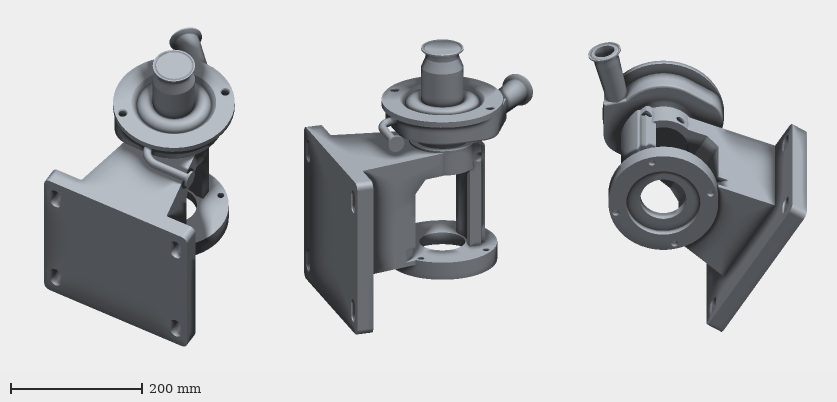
import cadquery as cq
import math


plate_size = 250.0
plate_thick = 25.8
plate_front_y = -179.7
plate_back_y = plate_front_y + plate_thick
plate_corner_r = 10.0
slot_width = 17.5
slot_length = 36.3
slot_spacing_x = 210.5
slot_spacing_z = 179.7

arm_top_z = plate_size
arm_base_half_width = 74.5
arm_tip_half_width = 48.8
arm_tip_y = -14.5
arm_under_z = 212.8
column_bottom_z = 75.8
column_face_y = -63.0
haunch_y = -45.5
haunch_z = 192.5
bolt_relief = 13.5
bolt_relief_top_z = 104.8

hub_r = 50.8
hub_top_z = 253.0
bore_r = 38.3
bore_top_z = 242.0
side_hole_r = 7.3
side_hole_z = 225.5
post_half_width = 32.5
post_inner_y = 33.0
post_r = 60.5
post_rib_half_width = 23.8
post_rib_r = 65.3
post_chamfer_y = 45.0
post_chamfer_z = 238.0
post_hole_y = 47.5
post_hole_z = 229.0

ring_r = 83.62
ring_bore_r = 35.0
ring_recess_r = 56.5
ring_recess_depth = 11.3
ring_bottom_z = 55.0
ring_top_z = 83.0
ring_bolt_circle_r = 74.0
ring_bolt_r = 5.2

casing_bottom_z = 273.0
cover_bottom_z = 309.5
cover_top_z = 318.5
casing_r = 75.8
casing_corner_r = 35.5
casing_edge_r = 3.5
neck_r = 41.0
neck_fillet_r = 9.3
cover_r = 92.5
dish_rim_r = 64.5
dish_r = 57.2
dish_z = 312.0
dish_inner_z = 317.0
dish_curve_r = 16.0
cover_bolt_offset = 57.2
cover_bolt_r = 6.0
cover_bolt_mouth_r = 7.5
cover_bolt_mouth_depth = 1.5
cover_bolt_depth = 20.0

top_z = 403.0
inlet_r = 32.2
inlet_shoulder_z = 372.0
inlet_neck_z = 389.0
inlet_neck_r = 25.5
inlet_clamp_r = 32.2

outlet_z = 290.5
outlet_offset = 58.0
outlet_wall = 61.5
outlet_wall_end = 78.0
outlet_end = 143.5
outlet_cone_end = 124.5
outlet_root_r = 17.0
outlet_r = 19.5
outlet_clamp_r = 25.5
outlet_bore_root_r = 13.7
outlet_bore_r = 15.7
outlet_clamp_slope = 4.0
outlet_groove_r = 21.8

clamp_thick = 2.5
clamp_slope = 1.5
groove_half_width = 1.5
groove_depth = 1.2
inlet_groove_r = 28.5

drain_z = 293.0
drain_y = -104.5
drain_bend_x = 29.0
drain_end_x = 88.5
drain_r = 6.5
drain_clamp_r = 13.0
drain_clamp_thick = 3.5
drain_clamp_slope = 2.0


def cylinder(radius, bottom_z, top_z, x=0.0, y=0.0):
    return cq.Workplane("XY", origin=(x, y, bottom_z)).circle(radius).extrude(top_z - bottom_z)


def revolved(profile):
    """Turn a closed (radius, height) outline about the local height axis."""
    return profile.close().revolve(360, (0, 0, 0), (0, 1, 0))


def make_plate():
    plate = (
        cq.Workplane("XZ", origin=(0, plate_back_y, plate_size / 2))
        .rect(plate_size, plate_size)
        .extrude(plate_thick)
        .edges("|Y")
        .fillet(plate_corner_r)
    )
    slots = (
        cq.Workplane("XZ", origin=(0, plate_back_y, plate_size / 2))
        .rarray(slot_spacing_x, slot_spacing_z, 2, 2)
        .slot2D(slot_length, slot_width, 90)
        .extrude(plate_thick)
    )
    return plate.cut(slots)


def make_arm():
    side = (
        cq.Workplane("YZ")
        .moveTo(plate_back_y, column_bottom_z)
        .lineTo(column_face_y, column_bottom_z)
        .lineTo(column_face_y, haunch_z)
        .lineTo(haunch_y, arm_under_z)
        .lineTo(0, arm_under_z)
        .lineTo(0, arm_top_z)
        .lineTo(plate_back_y, arm_top_z)
        .close()
        .extrude(arm_base_half_width, both=True)
    )
    plan = (
        cq.Workplane("XY")
        .moveTo(-arm_base_half_width, plate_back_y)
        .lineTo(arm_base_half_width, plate_back_y)
        .lineTo(arm_tip_half_width, arm_tip_y)
        .lineTo(-arm_tip_half_width, arm_tip_y)
        .close()
        .extrude(arm_top_z)
    )
    arm = side.intersect(plan)
    taper = (arm_base_half_width - arm_tip_half_width) / (arm_tip_y - plate_back_y)
    corner_x = arm_tip_half_width + taper * (arm_tip_y - column_face_y)
    for side_sign in (-1, 1):
        relief = (
            cq.Workplane("XY", origin=(0, 0, ring_top_z))
            .moveTo(side_sign * (corner_x - bolt_relief), column_face_y)
            .lineTo(side_sign * (corner_x + bolt_relief), column_face_y)
            .lineTo(side_sign * (corner_x + bolt_relief), column_face_y - 2 * bolt_relief)
            .close()
            .extrude(bolt_relief_top_z - ring_top_z)
        )
        arm = arm.cut(relief)
    return arm


def make_post_slab(half_width):
    """The side outline of the post, with its sloped top, at a given half width."""
    return (
        cq.Workplane("YZ")
        .moveTo(post_inner_y, ring_top_z)
        .lineTo(post_rib_r, ring_top_z)
        .lineTo(post_rib_r, post_chamfer_z)
        .lineTo(post_chamfer_y, hub_top_z)
        .lineTo(post_inner_y, hub_top_z)
        .close()
        .extrude(half_width, both=True)
    )


def make_post():
    body = make_post_slab(post_half_width).intersect(cylinder(post_r, ring_top_z, hub_top_z))
    rib = make_post_slab(post_rib_half_width).intersect(cylinder(post_rib_r, ring_top_z, hub_top_z))
    return body.union(rib)


def make_bracket():
    bracket = make_plate().union(make_arm())
    bracket = bracket.union(cylinder(hub_r, arm_under_z, hub_top_z)).union(make_post())
    bracket = bracket.cut(cylinder(bore_r, ring_top_z, bore_top_z))
    side_hole = cq.Workplane("YZ", origin=(-hub_r, 0, side_hole_z)).circle(side_hole_r).extrude(hub_r)
    post_hole = (
        cq.Workplane("YZ", origin=(0, post_hole_y, post_hole_z))
        .circle(side_hole_r)
        .extrude(post_half_width, both=True)
    )
    bracket = bracket.cut(side_hole).cut(post_hole)
    bracket = bracket.union(cylinder(ring_r, ring_bottom_z, ring_top_z))
    bracket = bracket.cut(cylinder(ring_bore_r, ring_bottom_z, ring_top_z))
    bracket = bracket.cut(cylinder(ring_recess_r, ring_bottom_z, ring_bottom_z + ring_recess_depth))
    bolts = (
        cq.Workplane("XY", origin=(0, 0, ring_bottom_z))
        .polarArray(ring_bolt_circle_r, 45, 360, 4)
        .circle(ring_bolt_r)
        .extrude(ring_top_z - ring_bottom_z)
    )
    return bracket.cut(bolts)


def outlet_point(along, across):
    """The (x, y) of a point measured along the outlet and across it from the shaft."""
    return ((across - along) / math.sqrt(2), (across + along) / math.sqrt(2))


def make_casing():
    corner = casing_r - casing_corner_r
    corner_mid = corner + casing_corner_r / math.sqrt(2)
    circle_mid = casing_r / math.sqrt(2)
    wall_start = outlet_point(outlet_wall, math.sqrt(casing_r**2 - outlet_wall**2))
    wall_end = outlet_point(outlet_wall, outlet_wall_end)

    reach = math.hypot(wall_end[0] - corner, wall_end[1] - corner)
    tangent_angle = math.atan2(wall_end[1] - corner, wall_end[0] - corner) - math.acos(casing_corner_r / reach)
    mid_angle = tangent_angle / 2

    def on_corner(angle):
        return (corner + casing_corner_r * math.cos(angle), corner + casing_corner_r * math.sin(angle))

    return (
        cq.Workplane("XY", origin=(0, 0, casing_bottom_z))
        .moveTo(0, -casing_r)
        .lineTo(-corner, -casing_r)
        .threePointArc((-corner_mid, -corner_mid), (-casing_r, -corner))
        .lineTo(-casing_r, 0)
        .threePointArc((-circle_mid, circle_mid), wall_start)
        .lineTo(*wall_end)
        .lineTo(*on_corner(tangent_angle))
        .threePointArc(on_corner(mid_angle), (casing_r, corner))
        .lineTo(casing_r, 0)
        .threePointArc((circle_mid, -circle_mid), (0, -casing_r))
        .close()
        .extrude(cover_bottom_z - casing_bottom_z)
        .faces("<Z")
        .edges()
        .fillet(casing_edge_r)
    )


def make_neck():
    flare_r = neck_r + neck_fillet_r
    profile = (
        cq.Workplane("XZ")
        .moveTo(0, hub_top_z)
        .lineTo(neck_r, hub_top_z)
        .lineTo(neck_r, casing_bottom_z - neck_fillet_r)
        .tangentArcPoint((flare_r, casing_bottom_z), relative=False)
        .lineTo(0, casing_bottom_z)
    )
    return revolved(profile)


def make_cover_and_inlet():
    clamp_bottom_z = top_z - clamp_thick
    profile = (
        cq.Workplane("XZ")
        .moveTo(0, cover_bottom_z)
        .lineTo(cover_r, cover_bottom_z)
        .lineTo(cover_r, cover_top_z)
        .lineTo(dish_rim_r, cover_top_z)
        .lineTo(dish_r, dish_z)
        .radiusArc((inlet_r, dish_inner_z), -dish_curve_r)
        .lineTo(inlet_r, inlet_shoulder_z)
        .lineTo(inlet_neck_r, inlet_neck_z)
        .lineTo(inlet_neck_r, clamp_bottom_z - clamp_slope)
        .lineTo(inlet_clamp_r, clamp_bottom_z)
        .lineTo(inlet_clamp_r, top_z)
        .lineTo(inlet_groove_r + groove_half_width, top_z)
        .lineTo(inlet_groove_r, top_z - groove_depth)
        .lineTo(inlet_groove_r - groove_half_width, top_z)
        .lineTo(0, top_z)
    )
    return revolved(profile)


def make_cover_bolt_hole():
    tip_z = cover_top_z - cover_bolt_depth
    profile = (
        cq.Workplane("XZ")
        .moveTo(0, tip_z - cover_bolt_r)
        .lineTo(cover_bolt_r, tip_z)
        .lineTo(cover_bolt_r, cover_top_z - cover_bolt_mouth_depth)
        .lineTo(cover_bolt_mouth_r, cover_top_z)
        .lineTo(0, cover_top_z)
    )
    return revolved(profile)


def outlet_workplane():
    """A plane through the outlet axis: local x is the radius, local y runs along the outlet."""
    x, y = outlet_point(0, outlet_offset)
    diagonal = 1 / math.sqrt(2)
    return cq.Workplane(cq.Plane(origin=(x, y, outlet_z), xDir=(diagonal, diagonal, 0), normal=(0, 0, 1)))


def make_outlet():
    clamp_inner = outlet_end - clamp_thick
    profile = (
        outlet_workplane()
        .lineTo(outlet_root_r, 0)
        .lineTo(outlet_root_r, outlet_wall)
        .lineTo(outlet_r, outlet_cone_end)
        .lineTo(outlet_r, clamp_inner - outlet_clamp_slope)
        .lineTo(outlet_clamp_r, clamp_inner)
        .lineTo(outlet_clamp_r, outlet_end)
        .lineTo(outlet_groove_r + groove_half_width, outlet_end)
        .lineTo(outlet_groove_r, outlet_end - groove_depth)
        .lineTo(outlet_groove_r - groove_half_width, outlet_end)
        .lineTo(0, outlet_end)
    )
    return revolved(profile)


def make_outlet_bore():
    profile = (
        outlet_workplane()
        .moveTo(0, outlet_wall)
        .lineTo(outlet_bore_root_r, outlet_wall)
        .lineTo(outlet_bore_r, outlet_cone_end)
        .lineTo(outlet_bore_r, outlet_end)
        .lineTo(0, outlet_end)
    )
    return revolved(profile)


def make_drain():
    bend_r = -casing_r - drain_y
    bend_mid = bend_r / math.sqrt(2)
    path = (
        cq.Workplane("XY", origin=(0, 0, drain_z))
        .moveTo(drain_end_x, drain_y)
        .lineTo(drain_bend_x, drain_y)
        .threePointArc(
            (drain_bend_x - bend_mid, -casing_r - bend_mid),
            (drain_bend_x - bend_r, -casing_r),
        )
        .lineTo(drain_bend_x - bend_r, -casing_r + drain_r)
    )
    pipe = cq.Workplane("YZ", origin=(drain_end_x, drain_y, drain_z)).circle(drain_r).sweep(path)
    clamp_inner = drain_end_x - drain_clamp_thick
    clamp = (
        cq.Workplane("XY", origin=(0, drain_y, drain_z))
        .moveTo(clamp_inner - drain_clamp_slope, 0)
        .lineTo(clamp_inner - drain_clamp_slope, drain_r)
        .lineTo(clamp_inner, drain_clamp_r)
        .lineTo(drain_end_x, drain_clamp_r)
        .lineTo(drain_end_x, 0)
        .close()
        .revolve(360, (0, 0, 0), (1, 0, 0))
    )
    return pipe.union(clamp)


def make_pump():
    pump = make_casing().union(make_outlet()).union(make_neck())
    pump = pump.union(make_cover_and_inlet()).union(make_drain()).cut(make_outlet_bore())
    for offset in (-cover_bolt_offset, cover_bolt_offset):
        pump = pump.cut(make_cover_bolt_hole().translate((offset, offset, 0)))
    return pump


result = make_bracket().union(make_pump())